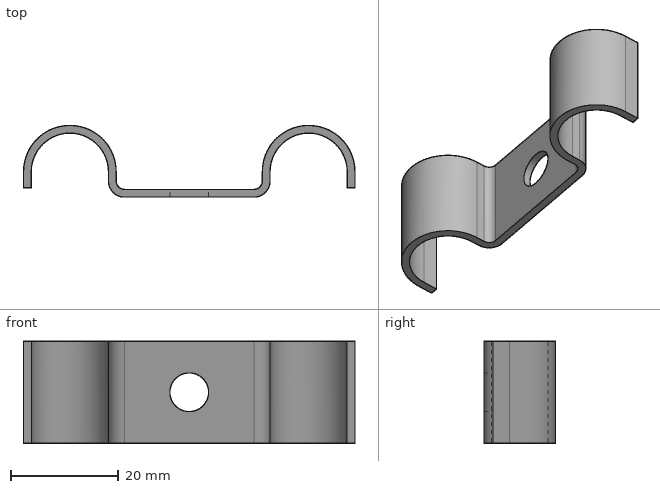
import cadquery as cq

length = 61.8
width = 19.0
thickness = 1.5
saddle_outer_radius = 8.65
saddle_drop = 4.75
free_leg = 3.0
bend_outer_radius = 3.0
hole_diameter = 7.15

saddle_inner_radius = saddle_outer_radius - thickness
bend_inner_radius = bend_outer_radius - thickness
saddle_x = length / 2 - saddle_outer_radius
web_bottom = -saddle_drop
web_top = web_bottom + thickness
bend_y = web_bottom + bend_outer_radius
bend_x = saddle_x - saddle_inner_radius - bend_outer_radius


def half_strip():
    """Right half of the bent strip, from the middle of the web to the free leg."""
    inner_wall = saddle_x - saddle_inner_radius
    outer_wall = saddle_x - saddle_outer_radius
    free_inner = saddle_x + saddle_inner_radius
    free_outer = saddle_x + saddle_outer_radius
    profile = (
        cq.Workplane("XY")
        .moveTo(0, web_bottom)
        .lineTo(bend_x, web_bottom)
        .radiusArc((inner_wall, bend_y), -bend_outer_radius)
        .lineTo(inner_wall, 0)
        .threePointArc((saddle_x, saddle_inner_radius), (free_inner, 0))
        .lineTo(free_inner, -free_leg)
        .lineTo(free_outer, -free_leg)
        .lineTo(free_outer, 0)
        .threePointArc((saddle_x, saddle_outer_radius), (outer_wall, 0))
        .lineTo(outer_wall, bend_y)
        .radiusArc((bend_x, web_top), bend_inner_radius)
        .lineTo(0, web_top)
        .close()
    )
    return profile.extrude(width / 2, both=True)


def web_hole():
    """Round hole through the middle of the web, along Y."""
    return cq.Workplane("XZ").circle(hole_diameter / 2).extrude(saddle_drop * 2)


right_half = half_strip()
left_half = right_half.mirror("YZ")
result = right_half.union(left_half, clean=True).cut(web_hole())